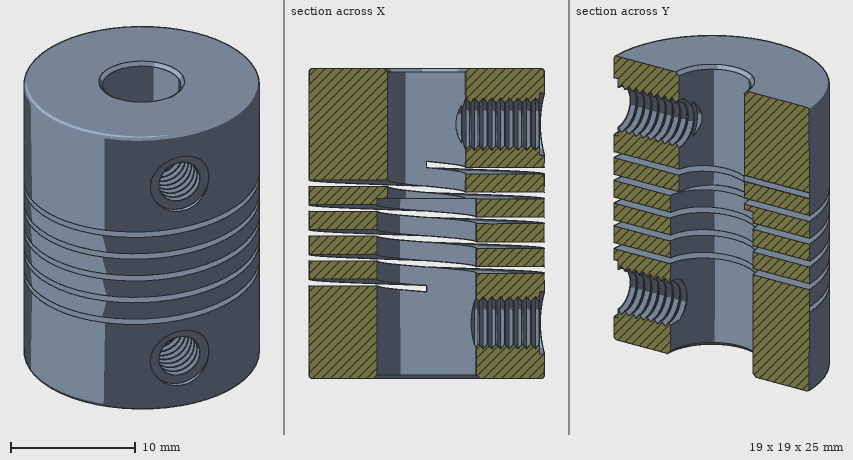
import cadquery as cq
height = 25.0
outer_radius = 9.5
rim_fillet = 0.3

top_bore_radius = 3.15
bottom_bore_radius = 4.0
bore_step_z = 2.0
bore_chamfer = 0.3

slot_width = 0.5
slot_pitch = 2.0
slot_turns = 5
slot_start_z = -5.25
slot_inner_radius = 2.25
cutter_overshoot = 1.0
slot_outer_radius = outer_radius + cutter_overshoot

screw_hole_z = 8.0
thread_major_radius = 2.1
screw_mouth_radius = 2.5
thread_minor_radius = 1.75
thread_pitch = 0.7
thread_count = 9
thread_half_groove = 0.3
screw_mouth_start = 9.1
thread_start = screw_mouth_start - thread_count * thread_pitch


def make_body():
    """Solid sleeve with rounded rims."""
    blank = cq.Workplane("XY").circle(outer_radius).extrude(height / 2, both=True)
    return blank.faces("<Z or >Z").edges().fillet(rim_fillet)


def make_bore():
    """Stepped bore, flared at both mouths, as one revolved cutter."""
    half = height / 2
    profile = [
        (0, -half),
        (bottom_bore_radius + bore_chamfer, -half),
        (bottom_bore_radius, -half + bore_chamfer),
        (bottom_bore_radius, bore_step_z),
        (top_bore_radius, bore_step_z),
        (top_bore_radius, half - bore_chamfer),
        (top_bore_radius + bore_chamfer, half),
        (0, half),
    ]
    return cq.Workplane("XZ").polyline(profile).close().revolve(360, (0, 0), (0, 1))


def make_slot_turn():
    """One right-handed turn of the helical cutter, starting on the -X side."""
    path = cq.Wire.makeHelix(slot_pitch, slot_pitch, outer_radius)
    section = (
        cq.Workplane("XZ")
        .center((slot_inner_radius + slot_outer_radius) / 2, 0)
        .rect(slot_outer_radius - slot_inner_radius, slot_width)
    )
    turn = section.sweep(cq.Workplane(path), isFrenet=True)
    return turn.rotate((0, 0, 0), (0, 0, 1), 180).translate((0, 0, slot_start_z))


def cut_slot(part):
    """Cut the slot turn by turn, each one pitch above the last."""
    turn = make_slot_turn()
    for index in range(slot_turns):
        part = part.cut(turn.translate((0, 0, index * slot_pitch)))
    return part


def make_screw_cutter():
    """Threaded hole along +Z, as a revolved profile of V grooves ending in a plain mouth."""
    profile = [(0, 0), (thread_major_radius, 0), (thread_major_radius, thread_start)]
    for index in range(thread_count):
        groove_z = thread_start + (index + 0.5) * thread_pitch
        profile += [
            (thread_minor_radius, groove_z - thread_half_groove),
            (thread_major_radius, groove_z),
            (thread_minor_radius, groove_z + thread_half_groove),
        ]
    profile += [
        (thread_minor_radius, screw_mouth_start),
        (screw_mouth_radius, screw_mouth_start),
        (screw_mouth_radius, outer_radius + cutter_overshoot),
        (0, outer_radius + cutter_overshoot),
    ]
    half_section = cq.Workplane("XZ").polyline(profile).close()
    return half_section.revolve(360, (0, 0), (0, 1))


def cut_screw_holes(part):
    """Cut threaded holes through the +X and +Y walls at both ends."""
    cutter = make_screw_cutter()
    toward_x = cutter.rotate((0, 0, 0), (0, 1, 0), 90)
    toward_y = cutter.rotate((0, 0, 0), (1, 0, 0), -90)
    for z in (-screw_hole_z, screw_hole_z):
        for hole in (toward_x, toward_y):
            part = part.cut(hole.translate((0, 0, z)))
    return part


result = make_body().cut(make_bore())
result = cut_slot(result)
result = cut_screw_holes(result)